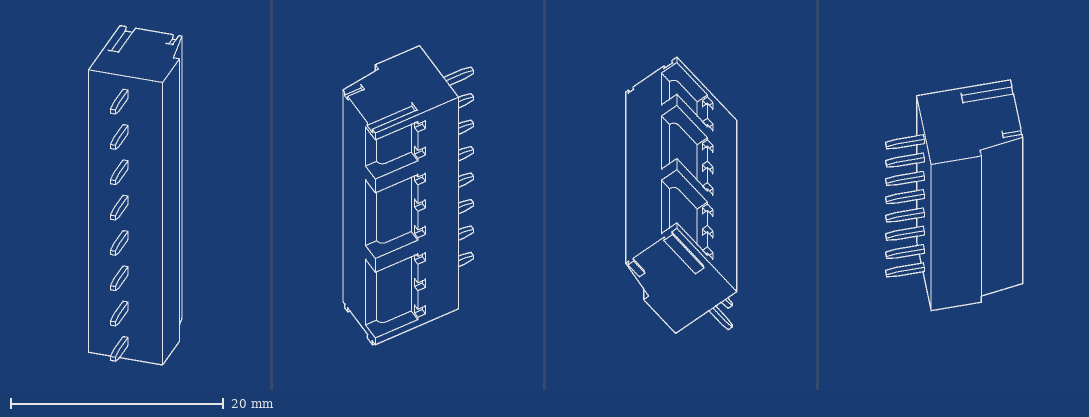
import cadquery as cq


pin_count = 8
housing_width = 7.4
housing_depth = 9.0
housing_length = 30.47
pitch = housing_length / pin_count
shelf_y = 4.8
shelf_width = 0.62
mating_width = 6.17

rib_height = 2.0
rib_pitches = [0, 3, 6, pin_count]
window_length = 4.6
window_depth = 1.25
inner_wall_radius = 0.62
mating_step_depth = window_depth + inner_wall_radius
mating_step_length = 1.2

notch_length = 0.85
notch_height = 1.12
notch_depth = 0.62

pin_thickness = 0.5
pin_height = 0.9
pin_length = 3.6
pin_tip_length = 0.95
pin_tip_height = 0.43

tongue_height = 0.55
groove_depth = 0.5
dovetail_flare = 0.1
groove_lip_radius = 0.12
groove_end_gap = 0.1
wide_dovetail = {"centre_x": 1.05, "neck": 0.87, "length": 4.75}
narrow_dovetail = {"centre_x": 5.55, "neck": 0.5, "length": 1.7}


def block(x, y, z, size_x, size_y, size_z):
    return cq.Workplane("XY").box(size_x, size_y, size_z, centered=False).translate((x, y, z))


def pin_heights():
    return [(number + 0.5) * pitch for number in range(pin_count)]


def housing():
    return (
        cq.Workplane("XY")
        .moveTo(0, 0)
        .lineTo(housing_width, 0)
        .lineTo(housing_width, shelf_y)
        .lineTo(housing_width - shelf_width, shelf_y)
        .lineTo(mating_width, housing_depth)
        .lineTo(0, housing_depth)
        .close()
        .extrude(housing_length)
    )


def window(bottom_z, top_z):
    """Recess open to -X and to the mating face, with a deeper step behind a rounded edge."""
    step_y = housing_depth - mating_step_length
    return (
        cq.Workplane("XY", origin=(0, 0, bottom_z))
        .moveTo(0, housing_depth - window_length)
        .lineTo(window_depth, housing_depth - window_length)
        .lineTo(window_depth, step_y - inner_wall_radius)
        .radiusArc((mating_step_depth, step_y), inner_wall_radius)
        .lineTo(mating_step_depth, housing_depth)
        .lineTo(0, housing_depth)
        .close()
        .extrude(top_z - bottom_z)
    )


def notch(centre_z):
    inner_y = housing_depth - window_length - notch_length
    return block(0, inner_y, centre_z - notch_height / 2, notch_depth, notch_length, notch_height)


def pin(centre_z):
    half = pin_height / 2
    half_tip = pin_tip_height / 2
    taper_y = pin_tip_length - pin_length
    return (
        cq.Workplane("YZ", origin=(housing_width / 2, 0, centre_z))
        .polyline([
            (0, -half),
            (taper_y, -half),
            (-pin_length, -half_tip),
            (-pin_length, half_tip),
            (taper_y, half),
            (0, half),
        ])
        .close()
        .extrude(pin_thickness / 2, both=True)
    )


def dovetail(top_z, height, centre_x, neck, length):
    """Bar hanging from top_z, widening downwards, that ends flush with the mating face."""
    half_neck = neck / 2
    half_base = half_neck + dovetail_flare
    return (
        cq.Workplane("XZ", origin=(centre_x, housing_depth, top_z))
        .polyline([
            (-half_neck, 0),
            (half_neck, 0),
            (half_base, -height),
            (-half_base, -height),
        ])
        .close()
        .extrude(length)
    )


def groove_mouth(centre_x, neck, length):
    """Rounded widening of a groove at the top face."""
    half_neck = neck / 2
    half_mouth = half_neck + groove_lip_radius
    return (
        cq.Workplane("XZ", origin=(centre_x, housing_depth, housing_length))
        .moveTo(-half_mouth, 0)
        .radiusArc((-half_neck, -groove_lip_radius), groove_lip_radius)
        .lineTo(half_neck, -groove_lip_radius)
        .radiusArc((half_mouth, 0), groove_lip_radius)
        .close()
        .extrude(length)
    )


result = housing()

for lower_rib, upper_rib in zip(rib_pitches, rib_pitches[1:]):
    result = result.cut(window(lower_rib * pitch + rib_height / 2, upper_rib * pitch - rib_height / 2))

for pin_z in pin_heights():
    result = result.cut(notch(pin_z)).union(pin(pin_z))

undercut_top = housing_length - groove_lip_radius
undercut_height = groove_depth - groove_lip_radius
for tongue_size in (wide_dovetail, narrow_dovetail):
    groove_size = {**tongue_size, "length": tongue_size["length"] + groove_end_gap}
    result = result.cut(groove_mouth(**groove_size))
    result = result.cut(dovetail(undercut_top, undercut_height, **groove_size))
    result = result.union(dovetail(0, tongue_height, **tongue_size))